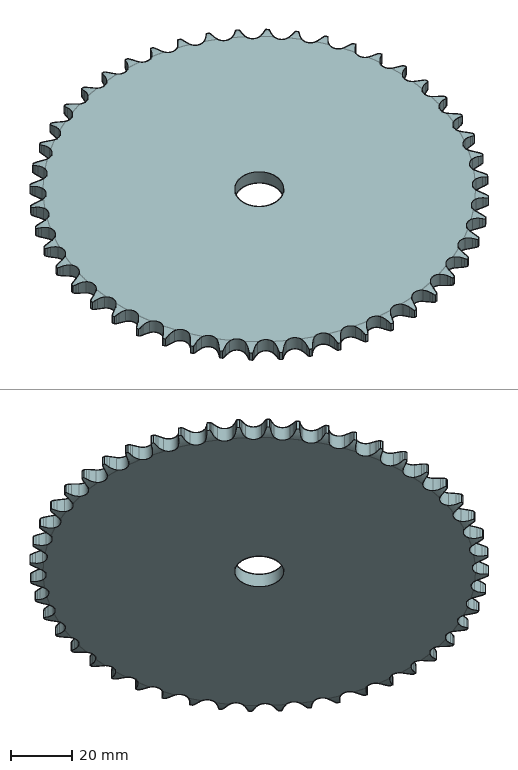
import cadquery as cq
import math

size = 149.5
thickness = 5.2
bore_diameter = 16.0

tooth_count = 48
pitch_radius = 72.8
tooth_angle = 360.0 / tooth_count
chain_pitch = 2 * pitch_radius * math.sin(math.radians(tooth_angle / 2))
roller_diameter = chain_pitch * 2 / 3

tooth_side_radius = 10.0
side_relief = 1.0

seat_radius = 0.51 * roller_diameter
working_radius = 1.3 * roller_diameter
topping_radius = 0.81 * roller_diameter
flank_length = 0.15 * roller_diameter
seat_half_angle = math.radians(55 - 60 / tooth_count)
working_angle = math.radians(18 - 56 / tooth_count)
flank_angle = seat_half_angle + working_angle


def polar_point(centre, radius, angle):
    """Point around a centre, with the angle measured from -X towards +Y.

    A negative radius gives the diametrically opposite point.
    """
    return (centre[0] - radius * math.cos(angle), centre[1] + radius * math.sin(angle))


seat_centre = (pitch_radius, 0)
seat_end = polar_point(seat_centre, seat_radius, seat_half_angle)
working_centre = polar_point(seat_end, -working_radius, seat_half_angle)
working_middle = polar_point(working_centre, working_radius, seat_half_angle + working_angle / 2)
flank_start = polar_point(working_centre, working_radius, flank_angle)
flank_end = (
    flank_start[0] + flank_length * math.sin(flank_angle),
    flank_start[1] + flank_length * math.cos(flank_angle),
)
topping_centre = polar_point(flank_end, topping_radius, flank_angle)
tip_x = size / 2
tip_angle = math.acos((tip_x - topping_centre[0]) / topping_radius)
tip_y = polar_point(topping_centre, -topping_radius, tip_angle)[1]
topping_middle = polar_point(topping_centre, -topping_radius, (tip_angle + flank_angle) / 2)
outer_radius = math.hypot(tip_x, tip_y)


def make_blank():
    """Bored disc whose rim is rounded off on both sides towards the tooth tips."""
    bore_radius = bore_diameter / 2
    half_thickness = thickness / 2
    tip_half_thickness = half_thickness - side_relief
    arc_centre_z = half_thickness - tooth_side_radius
    arc_angle = math.acos(1 - side_relief / tooth_side_radius)
    face_radius = outer_radius - tooth_side_radius * math.sin(arc_angle)
    middle_r = face_radius + tooth_side_radius * math.sin(arc_angle / 2)
    middle_z = arc_centre_z + tooth_side_radius * math.cos(arc_angle / 2)
    return (
        cq.Workplane("XZ")
        .moveTo(bore_radius, -half_thickness)
        .lineTo(face_radius, -half_thickness)
        .threePointArc((middle_r, -middle_z), (outer_radius, -tip_half_thickness))
        .lineTo(outer_radius, tip_half_thickness)
        .threePointArc((middle_r, middle_z), (face_radius, half_thickness))
        .lineTo(bore_radius, half_thickness)
        .close()
        .revolve(360, (0, 0, 0), (0, 1, 0))
    )


def mirrored(point):
    """Same point on the -Y half of the gap."""
    return (point[0], -point[1])


def make_tooth_gap():
    """Cutter for the gap on the +X axis, running out past the tooth tips."""
    clear_x = outer_radius + seat_radius
    return (
        cq.Workplane("XY")
        .workplane(offset=-thickness)
        .moveTo(clear_x, -tip_y)
        .lineTo(tip_x, -tip_y)
        .threePointArc(mirrored(topping_middle), mirrored(flank_end))
        .lineTo(*mirrored(flank_start))
        .threePointArc(mirrored(working_middle), mirrored(seat_end))
        .threePointArc((pitch_radius - seat_radius, 0), seat_end)
        .threePointArc(working_middle, flank_start)
        .lineTo(*flank_end)
        .threePointArc(topping_middle, (tip_x, tip_y))
        .lineTo(clear_x, tip_y)
        .close()
        .extrude(2 * thickness)
    )


gap = make_tooth_gap().val()
gaps = [gap.rotate((0, 0, 0), (0, 0, 1), i * tooth_angle) for i in range(tooth_count)]
result = make_blank().cut(cq.Compound.makeCompound(gaps))